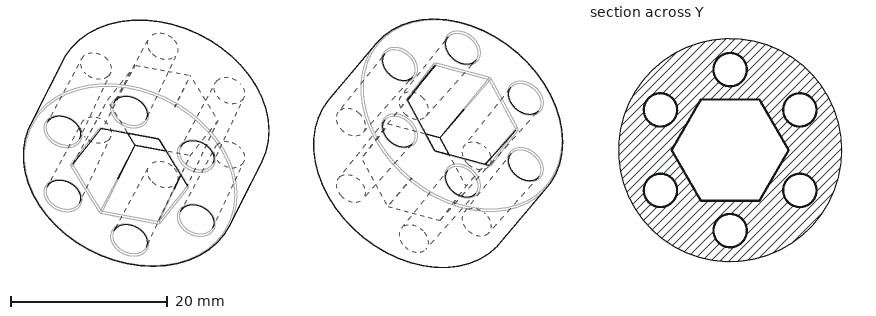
import cadquery as cq
import math

outer_diameter = 28.55
length = 14.47
edge_radius = 0.23

draft_angle = 1.0

hex_across_flats = 12.8
hex_across_corners = hex_across_flats / math.cos(math.pi / 6)

hole_count = 6
hole_circle_diameter = 20.55
hole_diameter = 4.1
first_hole_angle = 90


def back_face():
    """Workplane on the back face, with its normal pointing to the front."""
    return cq.Workplane("XZ", origin=(0, length / 2, 0))


def ring_body():
    return back_face().circle(outer_diameter / 2).extrude(length)


def hex_bore():
    """Drafted hexagon whose corners round off gradually towards the front."""
    return back_face().polygon(6, hex_across_corners).extrude(length, taper=-draft_angle)


def bolt_holes():
    """Ring of drafted round holes, the first straight above the bore."""
    return (
        back_face()
        .polarArray(hole_circle_diameter / 2, first_hole_angle, 360, hole_count)
        .circle(hole_diameter / 2)
        .extrude(length, taper=-draft_angle)
    )


body = ring_body().cut(hex_bore()).cut(bolt_holes())

result = body.faces("<Y").edges().fillet(edge_radius)
result = result.faces(">Y").edges(cq.selectors.RadiusNthSelector(-1)).fillet(edge_radius)